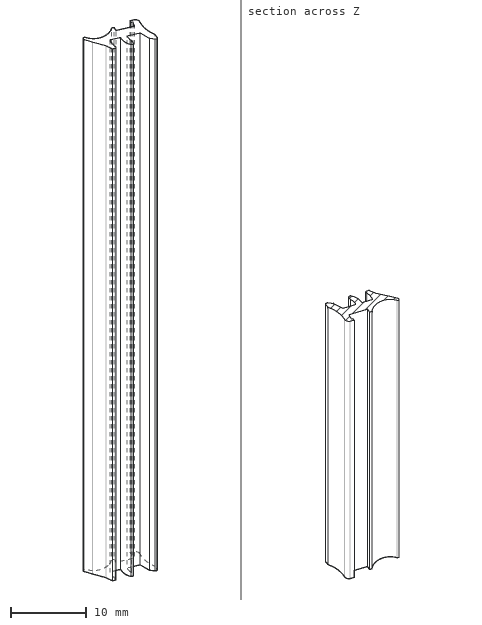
import cadquery as cq
import math

length = 100.0
width = 4.3
depth = 9.4

x_min = -width / 2
x_max = width / 2
y_min = -depth / 2
y_max = depth / 2

stem_left = -1.0
stem_right = 0.45

tip_radius = 0.2
curl_rise = 0.1

top_fin_curl_x = 1.3
top_fin_tip_bottom_y = 4.35
top_fin_heel = (1.75, 3.65)
top_fin_root_y = 2.8
top_bar_upper_mid = (0.3, 3.9)

middle_fin_top_y = 1.4
middle_fin_curl_x = 1.45
middle_fin_upper_mid = (1.0, 1.08)
middle_fin_upper_root_y = 1.0
middle_fin_tip_bottom_y = 1.0
middle_fin_lower_mid = (1.4, 0.35)
middle_fin_lower_root_y = 0.08

bottom_fin_top_y = -1.05
bottom_fin_curl_x = 1.7
bottom_fin_upper_mid = (1.2, -1.32)
bottom_fin_upper_root_y = -1.4
bottom_fin_tip_bottom_y = -1.6
web_upper = (1.33, -2.23)
web_lower = (0.15, -3.7)

toe_radius = 0.24
toe_center = (-0.81, y_min + toe_radius)

nub_x = -1.6
nub_top_y = -0.15
nub_bottom_y = -0.5
nub_root_y = -0.1
flank_mid = (-0.35, -2.4)

lip_top = (-1.6, 3.4)
lip_shoulder_mid = (-1.98, 3.2)
lip_shoulder_y = 2.86
lip_bottom_y = 2.26
lip_width = 0.35
lip_root_y = 2.5


def point_on_circle(center, radius, angle):
    """Point of a circle at an angle in degrees, counter-clockwise from +X."""
    turn = math.radians(angle)
    return (center[0] + radius * math.cos(turn), center[1] + radius * math.sin(turn))


def add_fin_top(outline, upper_mid, curl_x, top_y, tip_bottom_y):
    """Curve up the upper side of a fin, round its tip corner and drop down its end."""
    corner_center = (x_max - tip_radius, top_y - tip_radius)
    return (
        outline.threePointArc(upper_mid, (curl_x, top_y - curl_rise))
        .lineTo(x_max - tip_radius, top_y)
        .threePointArc(point_on_circle(corner_center, tip_radius, 45), (x_max, top_y - tip_radius))
        .lineTo(x_max, tip_bottom_y)
    )


def add_top_fin(outline):
    """From the top of the lip, along the bar and around the top fin to the stem."""
    outline = add_fin_top(outline, top_bar_upper_mid, top_fin_curl_x, y_max, top_fin_tip_bottom_y)
    return outline.lineTo(*top_fin_heel).lineTo(stem_right, top_fin_root_y)


def add_middle_fin(outline):
    """Down the stem and around the middle fin."""
    outline = outline.lineTo(stem_right, middle_fin_upper_root_y)
    outline = add_fin_top(
        outline, middle_fin_upper_mid, middle_fin_curl_x, middle_fin_top_y, middle_fin_tip_bottom_y
    )
    return outline.threePointArc(middle_fin_lower_mid, (stem_right, middle_fin_lower_root_y))


def add_bottom_fin(outline):
    """Down the stem, around the bottom fin and along the flat facets of the web."""
    outline = outline.lineTo(stem_right, bottom_fin_upper_root_y)
    outline = add_fin_top(
        outline, bottom_fin_upper_mid, bottom_fin_curl_x, bottom_fin_top_y, bottom_fin_tip_bottom_y
    )
    return outline.lineTo(*web_upper).lineTo(*web_lower)


def add_foot(outline):
    """Along the underside of the foot and half way around its toe."""
    run = web_lower[0] - toe_center[0]
    rise = web_lower[1] - toe_center[1]
    center_slope = math.degrees(math.atan2(rise, run))
    foot_angle = center_slope + math.degrees(math.asin(toe_radius / math.hypot(run, rise)))
    toe_start = point_on_circle(toe_center, toe_radius, foot_angle - 90)
    toe_end_mid = point_on_circle(toe_center, toe_radius, foot_angle + 180)
    toe_end = point_on_circle(toe_center, toe_radius, foot_angle + 90)
    return outline.lineTo(*toe_start).threePointArc(toe_end_mid, toe_end)


def add_flank_and_nub(outline):
    """Up the hollow flank and around the nub to the stem."""
    return (
        outline.threePointArc(flank_mid, (nub_x, nub_bottom_y))
        .lineTo(nub_x, nub_top_y)
        .lineTo(stem_left, nub_root_y)
    )


def add_lip(outline):
    """Up the stem and around the hooked lip to its top."""
    return (
        outline.lineTo(stem_left, lip_root_y)
        .lineTo(x_min + lip_width, lip_root_y)
        .lineTo(x_min + lip_width, lip_bottom_y)
        .lineTo(x_min, lip_bottom_y)
        .lineTo(x_min, lip_shoulder_y)
        .threePointArc(lip_shoulder_mid, lip_top)
    )


outline = cq.Workplane("XY", origin=(0, 0, -length / 2)).moveTo(*lip_top)
for add_section in (add_top_fin, add_middle_fin, add_bottom_fin, add_foot, add_flank_and_nub, add_lip):
    outline = add_section(outline)

result = outline.close().extrude(length)